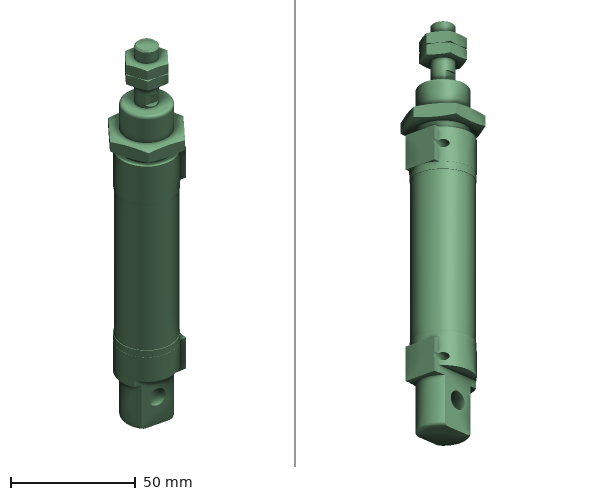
import cadquery as cq
import math


TONGUE_HOLE_Z = 13.2
CAP_HEIGHT = 15.0
COLLAR_HEIGHT = 3.2
REAR_CAP_Z = 21.8
REAR_TUBE_Z = REAR_CAP_Z + CAP_HEIGHT + COLLAR_HEIGHT
FRONT_CAP_TOP_Z = 129.0
FRONT_TUBE_Z = FRONT_CAP_TOP_Z - CAP_HEIGHT - COLLAR_HEIGHT
NECK_TOP_Z = 151.5

CAP_DIAMETER = 27.0
COLLAR_DIAMETER = 26.8
TUBE_DIAMETER = 26.3
NECK_DIAMETER = 22.0
END_FILLET = 1.5
TONGUE_WIDTH = 16.0
TONGUE_HOLE_DIAMETER = 8.0
FLAT_TOP_Z = 25

PAD_WIDTH = 15.5
PAD_REACH = 13.6
GROOVE_DIAMETER = 3.5
GROOVE_OFFSET = 9.1
FRONT_GROOVE_DROP = 7.2
REAR_GROOVE_DROP = 7.9

ROD_DIAMETER = 10.0
ROD_TOP_Z = 179
ROD_CHAMFER = 0.7
WRENCH_WIDTH = 8.0
WRENCH_TOP_Z = 157.5
WRENCH_BOTTOM_Z = 152.9

MOUNT_NUT_FLATS = 30.0
MOUNT_NUT_HEIGHT = 5.9
MOUNT_NUT_Z = 132.8
JAM_NUT_FLATS = 17.0
JAM_NUT_HEIGHT = 5.0
JAM_NUT_Z = 162.9
JAM_NUT_COUNT = 2
NUT_CHAMFER_ANGLE = 15
HEXAGON_TURN = 30
NUT_FACE_RATIO = 0.98


def cylinder(diameter, bottom, top):
    return cq.Workplane("XY").workplane(offset=bottom).circle(diameter / 2).extrude(top - bottom)


def box_between(x_range, y_range, z_range):
    lengths = [high - low for low, high in (x_range, y_range, z_range)]
    corner = (x_range[0], y_range[0], z_range[0])
    return cq.Workplane("XY").box(*lengths, centered=False).translate(corner)


def make_end_cap(bottom, groove_drop):
    """End cap with a flat port pad on +Y and a round groove along the pad's -X side."""
    top = bottom + CAP_HEIGHT
    pad = box_between((-PAD_WIDTH / 2, PAD_WIDTH / 2), (0, PAD_REACH), (bottom, top))
    groove = (
        cq.Workplane("XZ", origin=(-GROOVE_OFFSET, 0, top - groove_drop))
        .circle(GROOVE_DIAMETER / 2)
        .extrude(-CAP_DIAMETER)
    )
    return cylinder(CAP_DIAMETER, bottom, top).union(pad).cut(groove)


def make_housing():
    tongue = cylinder(NECK_DIAMETER, 0, REAR_CAP_Z).faces("<Z").edges().fillet(END_FILLET)
    neck = cylinder(NECK_DIAMETER, FRONT_CAP_TOP_Z, NECK_TOP_Z).faces(">Z").edges().fillet(END_FILLET)
    front_cap_z = FRONT_CAP_TOP_Z - CAP_HEIGHT
    housing = (
        tongue
        .union(make_end_cap(REAR_CAP_Z, REAR_GROOVE_DROP))
        .union(cylinder(COLLAR_DIAMETER, REAR_CAP_Z + CAP_HEIGHT, REAR_TUBE_Z))
        .union(cylinder(TUBE_DIAMETER, REAR_TUBE_Z, FRONT_TUBE_Z))
        .union(cylinder(COLLAR_DIAMETER, FRONT_TUBE_Z, front_cap_z))
        .union(make_end_cap(front_cap_z, FRONT_GROOVE_DROP))
        .union(neck)
    )
    half = TONGUE_WIDTH / 2
    for x_range in ((-CAP_DIAMETER, -half), (half, CAP_DIAMETER)):
        housing = housing.cut(box_between(x_range, (-CAP_DIAMETER, CAP_DIAMETER), (0, FLAT_TOP_Z)))
    pin_hole = (
        cq.Workplane("YZ", origin=(-CAP_DIAMETER, 0, TONGUE_HOLE_Z))
        .circle(TONGUE_HOLE_DIAMETER / 2)
        .extrude(2 * CAP_DIAMETER)
    )
    return housing.cut(pin_hole)


def make_rod():
    """Rod standing on the neck, with two wrench flats whose lower ends slope out at 45 degrees."""
    rod = cylinder(ROD_DIAMETER, NECK_TOP_Z, ROD_TOP_Z).faces(">Z").edges().chamfer(ROD_CHAMFER)
    inner = WRENCH_WIDTH / 2
    outer = ROD_DIAMETER
    notch = (
        cq.Workplane("XZ")
        .polyline([
            (inner, WRENCH_TOP_Z),
            (inner, WRENCH_BOTTOM_Z),
            (outer, WRENCH_BOTTOM_Z - (outer - inner)),
            (outer, WRENCH_TOP_Z),
        ])
        .close()
        .extrude(ROD_DIAMETER, both=True)
    )
    return rod.cut(notch).cut(notch.mirror("YZ"))


def make_nut(across_flats, height, bore, bottom):
    """Hexagon nut with two corners on the Y axis, coned on both end faces."""
    corner_radius = across_flats / math.sqrt(3)
    face_radius = across_flats * NUT_FACE_RATIO / 2
    drop = (corner_radius - face_radius) * math.tan(math.radians(NUT_CHAMFER_ANGLE))
    hexagon = cq.Workplane("XY").polygon(6, 2 * corner_radius).extrude(height)
    hexagon = hexagon.rotate((0, 0, 0), (0, 0, 1), HEXAGON_TURN)
    coned_blank = (
        cq.Workplane("XZ")
        .polyline([
            (0, 0),
            (face_radius, 0),
            (corner_radius, drop),
            (corner_radius, height - drop),
            (face_radius, height),
            (0, height),
        ])
        .close()
        .revolve(360, (0, 0, 0), (0, 1, 0))
    )
    nut = hexagon.intersect(coned_blank).cut(cylinder(bore, 0, height))
    return nut.translate((0, 0, bottom))


housing = make_housing()
rod = make_rod()
mounting_nut = make_nut(MOUNT_NUT_FLATS, MOUNT_NUT_HEIGHT, NECK_DIAMETER, MOUNT_NUT_Z)
jam_nuts = [
    make_nut(JAM_NUT_FLATS, JAM_NUT_HEIGHT, ROD_DIAMETER, JAM_NUT_Z + index * JAM_NUT_HEIGHT)
    for index in range(JAM_NUT_COUNT)
]

result = cq.Compound.makeCompound(
    [housing.val(), rod.val(), mounting_nut.val(), *[nut.val() for nut in jam_nuts]]
)